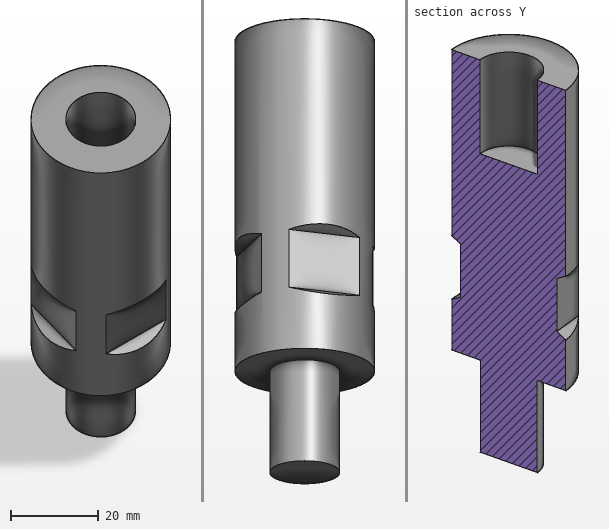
import cadquery as cq
import math

body_diameter = 32.0
body_length = 80.0
stud_diameter = 16.0
stud_length = 24.5

bore_diameter = 16.0
bore_depth = 25.0

across_flats = 27.0
flat_length = 14.0
flat_base = 15.0
end_slope = 30.0
flat_count = 4

body_radius = body_diameter / 2
flat_distance = across_flats / 2
cutter_overshoot = 1.0


def make_body():
    """Cylindrical body standing on the XY plane, with the stud below it."""
    body = cq.Workplane("XY").circle(body_radius).extrude(body_length)
    stud = cq.Workplane("XY").circle(stud_diameter / 2).extrude(-stud_length)
    return body.union(stud)


def make_bore():
    """Flat-bottomed bore going down from the top face."""
    return (
        cq.Workplane("XY")
        .workplane(offset=body_length)
        .circle(bore_diameter / 2)
        .extrude(-bore_depth)
    )


def make_flat_cutter():
    """Trapezoidal prism that cuts the +X flat, widening outward."""
    outer_x = body_radius + cutter_overshoot
    end_rise = (outer_x - flat_distance) * math.tan(math.radians(end_slope))
    flat_top = flat_base + flat_length
    profile = [
        (flat_distance, flat_base),
        (outer_x, flat_base - end_rise),
        (outer_x, flat_top + end_rise),
        (flat_distance, flat_top),
    ]
    return cq.Workplane("XZ").polyline(profile).close().extrude(body_radius, both=True)


result = make_body().cut(make_bore())
flat_cutter = make_flat_cutter()
for index in range(flat_count):
    angle = index * 360.0 / flat_count
    result = result.cut(flat_cutter.rotate((0, 0, 0), (0, 0, 1), angle))